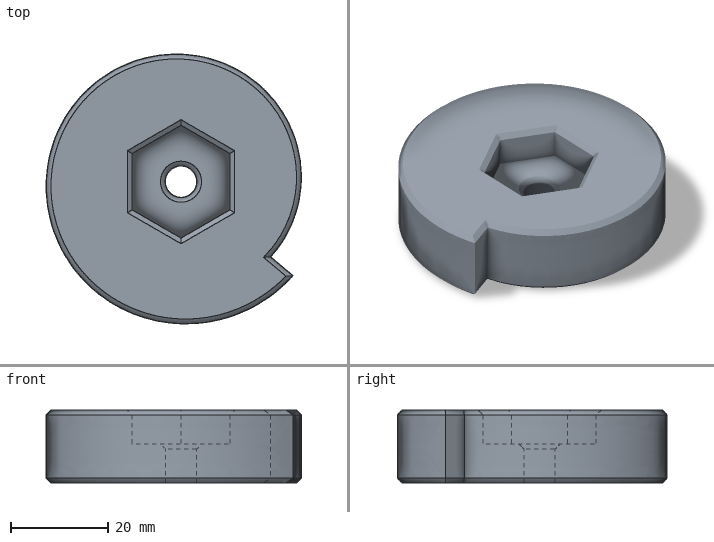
import cadquery as cq
import math

height = 15.0
start_radius = 24.0
rise = 6.0
step_angle = -40
rim_spans = 36
edge_chamfer = 1.0

socket_flats = 20.0
socket_depth = 7.0

bore_diameter = 6.4


def spiral_point(turn):
    """Point on the Archimedean rim after a fraction of a turn."""
    radius = start_radius + rise * turn
    angle = math.radians(step_angle) + 2 * math.pi * turn
    return radius * math.cos(angle), radius * math.sin(angle)


def make_cam():
    """Spiral disc closed by the radial step, chamfered on both faces."""
    rim_points = [spiral_point(i / rim_spans) for i in range(rim_spans + 1)]
    cam = cq.Workplane("XY").spline(rim_points).close().extrude(height)
    return cam.faces("<Z or >Z").edges().chamfer(edge_chamfer)


def make_socket():
    """Hexagonal cutter with a flared mouth."""
    floor_z = height - socket_depth
    corner_diameter = socket_flats / math.cos(math.pi / 6)
    mouth_corner_diameter = (socket_flats + 2 * edge_chamfer) / math.cos(math.pi / 6)
    corner_turn = (0, 0, 30)

    def hexagon(z, diameter):
        plane = cq.Workplane("XY", origin=(0, 0, z))
        return plane.transformed(rotate=corner_turn).polygon(6, diameter)

    straight = hexagon(floor_z, corner_diameter).extrude(socket_depth)
    flare = (
        hexagon(height - edge_chamfer, corner_diameter)
        .workplane(offset=edge_chamfer)
        .polygon(6, mouth_corner_diameter)
        .loft(ruled=True)
    )
    return straight.union(flare)


def make_bore():
    """Through bore with a countersink at the socket floor."""
    floor_z = height - socket_depth
    bore_radius = bore_diameter / 2
    return (
        cq.Workplane("XZ")
        .lineTo(bore_radius, 0)
        .lineTo(bore_radius, floor_z - edge_chamfer)
        .lineTo(bore_radius + edge_chamfer, floor_z)
        .lineTo(0, floor_z)
        .close()
        .revolve(360, (0, 0, 0), (0, 1, 0))
    )


result = make_cam().cut(make_socket()).cut(make_bore())